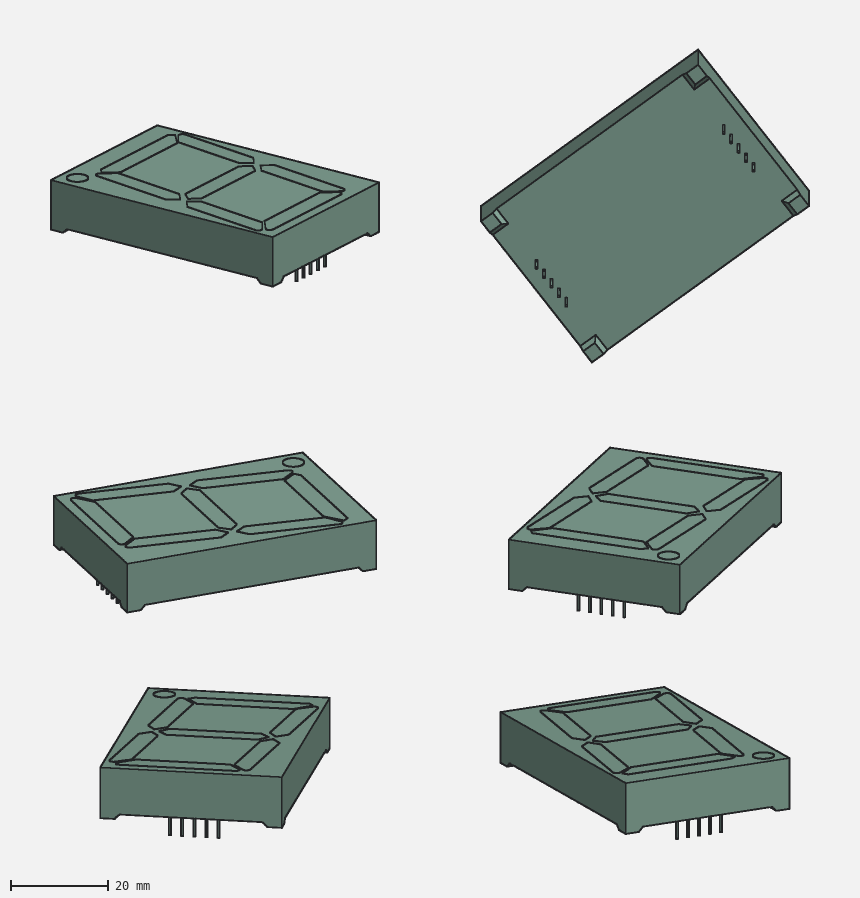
import cadquery as cq
import math


length = 56.0
width = 38.0
total_height = 15.1
housing_height = 11.0
foot_height = 1.0
foot_size = 3.0
floor_z = foot_height - housing_height

relief = 0.1

pin_diameter = 0.5
pin_row_length = 10.2
pin_row_offset = 24.15
pins_per_row = 5
pin_pitch = pin_row_length / (pins_per_row - 1)
pin_embed = 0.55
pin_tip_z = relief - total_height

digit_center_x = 1.35
lean_angle = 8.0
lean = math.tan(math.radians(lean_angle))
rail_offset = 12.8
bar_offset = 22.2
stroke_width = 4.2
half_stroke = stroke_width / 2
corner_radius = 0.85
bar_outer = bar_offset + half_stroke
bar_inner = bar_offset - half_stroke

dot_diameter = 4.5
dot_x = -24.15
dot_y = -14.95


def make_housing():
    """Box with two crossing channels below, leaving a foot at each corner."""
    housing = cq.Workplane("XY").box(length, width, housing_height, centered=(True, True, False))
    housing = housing.translate((0, 0, -housing_height))
    housing = housing.cut(make_channel("XZ", length, width))
    return housing.cut(make_channel("YZ", width, length))


def make_channel(plane, span, run):
    """Channel with 45 degree sides, as wide as the gap between two feet."""
    half_mouth = span / 2 - foot_size
    half_floor = half_mouth - foot_height
    profile = [
        (-half_mouth, -housing_height),
        (-half_floor, floor_z),
        (half_floor, floor_z),
        (half_mouth, -housing_height),
    ]
    return cq.Workplane(plane).polyline(profile).close().extrude(run / 2, both=True)


def make_pins():
    """Two rows of round pins, rooted in the housing."""
    first_y = -pin_row_length / 2
    places = [
        (side * pin_row_offset, first_y + i * pin_pitch)
        for side in (-1, 1)
        for i in range(pins_per_row)
    ]
    pins = cq.Workplane("XY").workplane(offset=pin_tip_z).pushPoints(places)
    return pins.circle(pin_diameter / 2).extrude(floor_z + pin_embed - pin_tip_z)


def raise_outline(points):
    """Raised plate with the given outline."""
    return cq.Workplane("XY").polyline(points).close().extrude(relief)


def round_corner(plate, corner):
    """Round the upright edge of a plate nearest to the given corner."""
    x, y = corner
    return plate.edges(cq.NearestToPointSelector((x, y, relief / 2))).fillet(corner_radius)


def rail_outer(x):
    """Point on the outer edge of the upper leaning rail."""
    return (x, rail_offset + half_stroke - lean * x)


def rail_inner(x):
    """Point on the inner edge of the upper leaning rail."""
    return (x, rail_offset - half_stroke - lean * x)


def make_upper_left_segment():
    """Rail piece with a mitred, rounded left end and a pointed right end."""
    corner = rail_outer(-23.4)
    mitre_end = rail_inner(-20.2)
    tip = (-0.6, 12.9)
    plate = raise_outline([corner, rail_outer(-2.45), tip, rail_inner(-3.1), mitre_end])
    return round_corner(plate, corner)


def make_upper_right_segment():
    """Rail piece with a pointed left end and a mitred, rounded right end."""
    corner = rail_outer(24.75)
    mitre_end = rail_inner(20.15)
    tip = (1.2, 12.65)
    plate = raise_outline([corner, mitre_end, rail_inner(3.1), tip, rail_outer(3.6)])
    return round_corner(plate, corner)


def make_right_segment():
    """End bar with both outer corners rounded."""
    upper = (bar_outer, 10.5)
    lower = (bar_outer, -17.9)
    upper_mitre_end = (bar_inner, 7.05)
    lower_mitre_end = (bar_inner, -12.65)
    plate = raise_outline([upper, lower, lower_mitre_end, upper_mitre_end])
    return round_corner(round_corner(plate, upper), lower)


def make_left_segment():
    """End bar with both outer corners cut off straight."""
    upper_cut = [(-bar_outer, 15.8), (-23.1, 16.6)]
    lower_cut = [(-23.25, -9.6), (-bar_outer, -8.3)]
    upper_mitre_end = (-bar_inner, 13.0)
    lower_mitre_end = (-bar_inner, -7.15)
    return raise_outline(upper_cut + [upper_mitre_end, lower_mitre_end] + lower_cut)


def make_middle_segment():
    """Bar with a point at both ends."""
    shoulder = 9.6
    tip = 11.5
    return raise_outline(
        [
            (-half_stroke, shoulder),
            (0, tip),
            (half_stroke, shoulder),
            (half_stroke, -shoulder),
            (0, -tip),
            (-half_stroke, -shoulder),
        ]
    )


def make_digit():
    """Seven segments; the lower rail is the upper one turned half round."""
    segments = [make_left_segment(), make_middle_segment(), make_right_segment()]
    for segment in (make_upper_left_segment(), make_upper_right_segment()):
        segments.append(segment)
        segments.append(segment.rotate((0, 0, 0), (0, 0, 1), 180))
    return [segment.translate((digit_center_x, 0, 0)) for segment in segments]


def make_dot():
    """Raised round decimal point."""
    return cq.Workplane("XY").center(dot_x, dot_y).circle(dot_diameter / 2).extrude(relief)


result = make_housing().union(make_pins()).union(make_dot())
for segment in make_digit():
    result = result.union(segment)